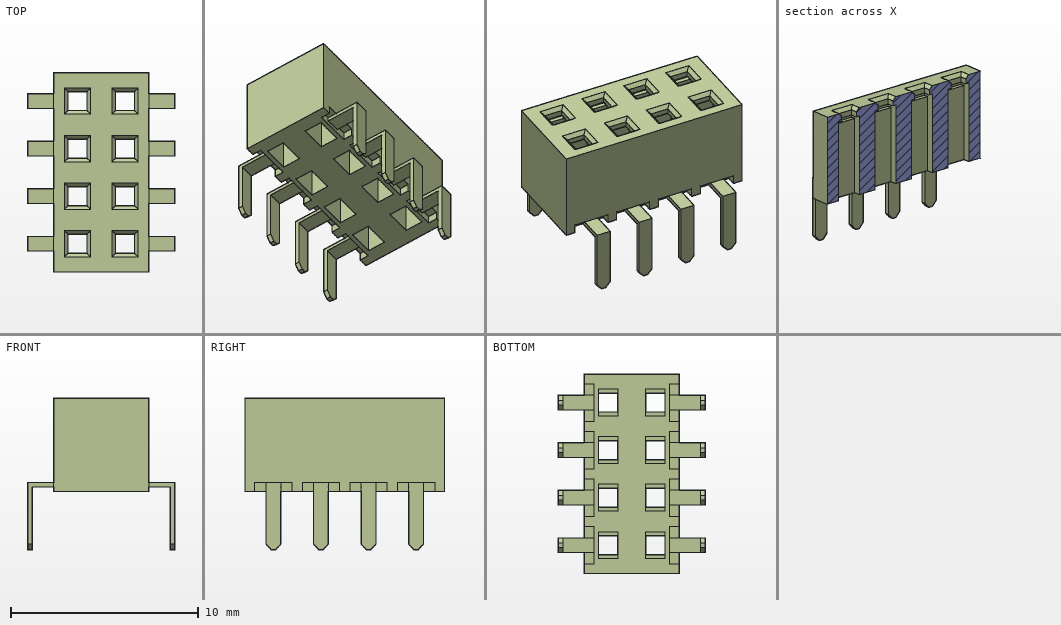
import cadquery as cq


pitch = 2.54
row_count = 2
position_count = 4

end_margin = 0.25
housing_width = row_count * pitch
housing_length = position_count * pitch + 2 * end_margin
housing_height = 5.0

opening_size = 1.0
lead_in = 0.2
neck_height = 0.3
ceiling_gap = 0.25
side_relief = 0.22
cavity_length = opening_size + 2 * side_relief
inner_relief = 0.04

lead_thickness = 0.25
lead_width = 0.8
lead_span = 7.87
lead_top = 0.5
lead_bottom = -3.1
tip_width = 0.24
tip_height = 0.3

slot_width = 2.0
slot_height = lead_top

row_x = pitch / 2
opening_inner_x = row_x - opening_size / 2
opening_outer_x = row_x + opening_size / 2
contact_back_x = opening_outer_x + lead_thickness
housing_side_x = housing_width / 2
lead_outer_x = lead_span / 2

neck_top_z = housing_height - lead_in
cavity_top_z = neck_top_z - neck_height
contact_top_z = cavity_top_z - ceiling_gap

position_ys = [(i - (position_count - 1) / 2) * pitch for i in range(position_count)]


def block(x_min, x_max, length, z_min, z_max):
    """Box between two X and two Z limits, centred on Y = 0."""
    return (
        cq.Workplane("XY")
        .box(x_max - x_min, length, z_max - z_min, centered=(False, True, False))
        .translate((x_min, 0, z_min))
    )


def make_socket():
    """Void of one +X socket: flared mouth, square neck, contact cavity."""
    rim_size = opening_size + 2 * lead_in
    flare = (
        cq.Workplane("XY", origin=(row_x, 0, neck_top_z))
        .rect(opening_size, opening_size)
        .workplane(offset=lead_in)
        .rect(rim_size, rim_size)
        .loft(combine=True)
    )
    neck = block(opening_inner_x, opening_outer_x, opening_size, 0, neck_top_z)
    cavity_inner_x = opening_inner_x - inner_relief
    cavity = block(cavity_inner_x, opening_outer_x, cavity_length, 0, cavity_top_z)
    headroom = block(opening_outer_x, contact_back_x, cavity_length, contact_top_z, cavity_top_z)
    return flare.union(neck).union(cavity).union(headroom)


def make_slot():
    """Void of one +X side slot, open to the side and underside of the housing."""
    return block(contact_back_x, housing_side_x, slot_width, 0, slot_height)


def make_lead():
    """One +X lead: a flat arm leaving the slot and a leg with a tapered tip."""
    arm = block(contact_back_x, lead_outer_x, lead_width, lead_top - lead_thickness, lead_top)
    shoulder_z = lead_bottom + tip_height
    leg = (
        cq.Workplane("YZ", origin=(lead_outer_x - lead_thickness, 0, 0))
        .polyline([
            (-lead_width / 2, lead_top),
            (-lead_width / 2, shoulder_z),
            (-tip_width / 2, lead_bottom),
            (tip_width / 2, lead_bottom),
            (lead_width / 2, shoulder_z),
            (lead_width / 2, lead_top),
        ])
        .close()
        .extrude(lead_thickness)
    )
    return arm.union(leg)


def at_every_position(feature):
    """Copies of a +X feature at every position of both rows."""
    copies = []
    for y in position_ys:
        placed = feature.translate((0, y, 0))
        copies.append(placed)
        copies.append(placed.mirror("YZ"))
    return copies


result = block(-housing_side_x, housing_side_x, housing_length, 0, housing_height)
for void in at_every_position(make_socket().union(make_slot())):
    result = result.cut(void)
for lead in at_every_position(make_lead()):
    result = result.union(lead)